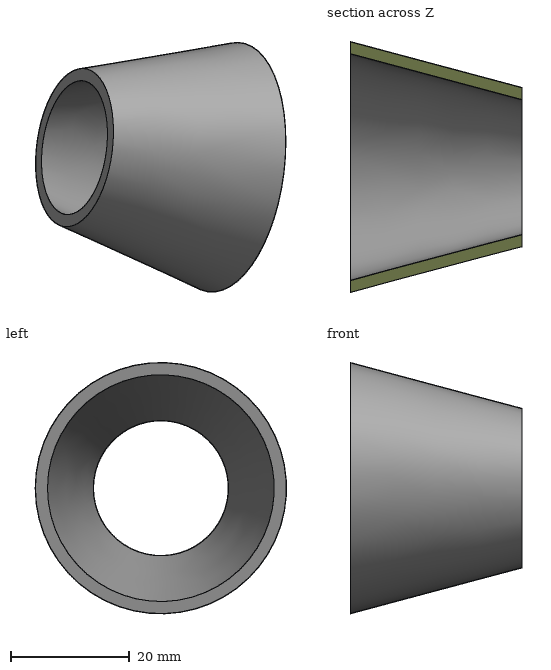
import cadquery as cq

length = 29.0
wide_diameter = 42.4
narrow_diameter = 26.9
wall = 2.08

wide_radius = wide_diameter / 2
narrow_radius = narrow_diameter / 2

wall_section = [
    (0, wide_radius - wall),
    (0, wide_radius),
    (length, narrow_radius),
    (length, narrow_radius - wall),
]

result = (
    cq.Workplane("XY")
    .polyline(wall_section)
    .close()
    .revolve(360, (0, 0, 0), (1, 0, 0))
)